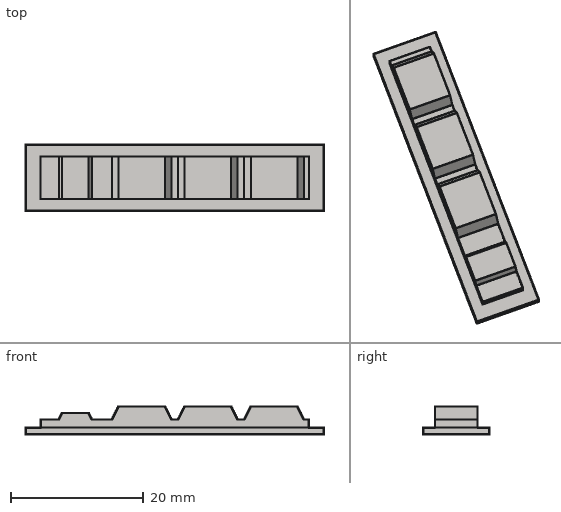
import cadquery as cq

plate_length = 45.0
plate_width = 10.0
plate_thickness = 1.0

strip_length = 40.5
strip_width = 6.5
strip_top = 2.25
strip_start = (plate_length - strip_length) / 2

flank_run_per_rise = 0.5
small_tooth_start = 5.0
small_tooth_length = 5.0
small_tooth_height = 1.0
large_tooth_start = 13.0
large_tooth_length = 9.0
large_tooth_height = 2.0
large_tooth_pitch = 10.0
large_tooth_count = 3


def box_on(start, length, width, bottom, height):
    """Block starting at the given X and Z, centred on Y = 0."""
    block = cq.Workplane("XY").box(length, width, height, centered=(False, True, False))
    return block.translate((start, 0, bottom))


def tooth(start, length, height):
    """Symmetric trapezoidal tooth across the full strip width."""
    flank_run = height * flank_run_per_rise
    end = start + length
    top = strip_top + height
    return (
        cq.Workplane("XZ")
        .moveTo(start, strip_top)
        .lineTo(start + flank_run, top)
        .lineTo(end - flank_run, top)
        .lineTo(end, strip_top)
        .close()
        .extrude(strip_width / 2, both=True)
    )


plate = box_on(0, plate_length, plate_width, 0, plate_thickness)
strip = box_on(strip_start, strip_length, strip_width, plate_thickness, strip_top - plate_thickness)

result = plate.union(strip)
result = result.union(tooth(small_tooth_start, small_tooth_length, small_tooth_height))
for index in range(large_tooth_count):
    start = large_tooth_start + index * large_tooth_pitch
    result = result.union(tooth(start, large_tooth_length, large_tooth_height))